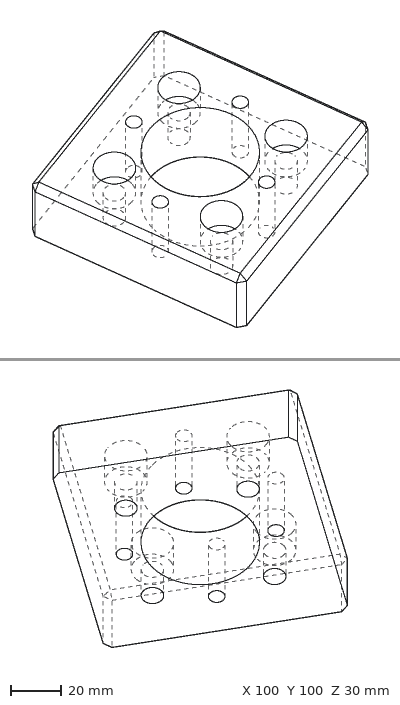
import cadquery as cq

side = 100.0
height = 30.0
edge_chamfer = 3.0

bore_diameter = 47.4

bolts_per_side = 2
bolt_spacing = 50.0
bolt_diameter = 9.0
counterbore_diameter = 17.0
counterbore_depth = height / 2

pin_circle_diameter = 62.0
pin_diameter = 6.6
pin_count = 4


def chamfered_block():
    """Square block, base on Z = 0, with its upright and top edges chamfered together."""
    block = cq.Workplane("XY").box(side, side, height, centered=(True, True, False))
    return block.edges("|Z or >Z").chamfer(edge_chamfer)


def drill_bore(body):
    """Central through bore."""
    return body.faces(">Z").workplane(origin=(0, 0, height)).hole(bore_diameter)


def drill_bolt_holes(body):
    """Four through holes, counterbored from the top face."""
    return (
        body.faces(">Z")
        .workplane(origin=(0, 0, height))
        .rarray(bolt_spacing, bolt_spacing, bolts_per_side, bolts_per_side)
        .cboreHole(bolt_diameter, counterbore_diameter, counterbore_depth)
    )


def drill_pin_holes(body):
    """Four through holes evenly spaced around the bore, starting on the X axis."""
    return (
        body.faces(">Z")
        .workplane(origin=(0, 0, height))
        .polarArray(pin_circle_diameter / 2, 0, 360, pin_count)
        .hole(pin_diameter)
    )


result = drill_pin_holes(drill_bolt_holes(drill_bore(chamfered_block())))